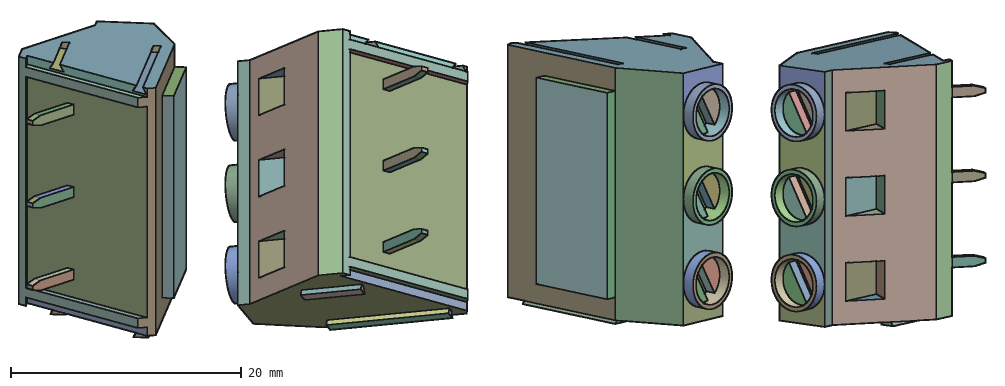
import cadquery as cq
import math


TILT = math.radians(55)
DOWN = (math.cos(TILT), -math.sin(TILT))
ACROSS = (math.sin(TILT), math.cos(TILT))

POLE_COUNT = 3
POLE_PITCH = 7.5
HEIGHT = POLE_COUNT * POLE_PITCH
POLE_LEVELS = [(i + 0.5) * POLE_PITCH for i in range(POLE_COUNT)]

COLLAR_DIAMETER = 5.0
COLLAR_BORE = 4.2
COLLAR_LENGTH = 1.13
SLOT_WIDTH = 1.0
SLOT_DEPTH = 1.0
SLOT_ANGLE = 30

ENTRY_WALL_TOP = 11.23
ENTRY_BEVEL_RISE = 1.8
SCREW_FACE_SETBACK = 1.1
MOUNTING_FACE_END = 15.25
REAR_BEVEL_RISE = 1.32
REAR_FACE_LENGTH = 12.8

BLOCK_LENGTH = 8.43
BLOCK_THICKNESS = 1.02
BLOCK_END_INSET = 2.05

RECESS_DEPTH = 0.7
RECESS_START = 2.1
EDGE_NOTCH_HEIGHT = 0.79
RAIL_HEIGHT = 0.88

ENTRY_TOP = 10.03
ENTRY_BOTTOM = 6.5
ENTRY_HEIGHT = 3.37

DOVETAIL_NECK = 0.62
DOVETAIL_BASE = 1.32
DOVETAIL_DEPTH = 23.1 - HEIGHT
DOVETAILS = [((1.5, 5.82), 5.43), ((8.06, 10.4), 11.05)]
GROOVE_OVERRUN = 2.77

PIN_X = 6.72
PIN_WIDTH = 0.72
PIN_HEIGHT = 0.92
PIN_TIP_HEIGHT = 0.4
PIN_LENGTH = 4.57
PIN_TIP_LENGTH = 1.02


def offset(point, direction, distance):
    return (point[0] + direction[0] * distance, point[1] + direction[1] * distance)


def prism(points, bottom, height):
    """Extrude an XY outline upward from the level `bottom`."""
    return cq.Workplane("XY", origin=(0, 0, bottom)).polyline(points).close().extrude(height)


neck_top = offset((0, ENTRY_WALL_TOP), DOWN, -SCREW_FACE_SETBACK)
screw_face_end = offset(neck_top, ACROSS, COLLAR_DIAMETER)
screw_center = offset(neck_top, ACROSS, COLLAR_DIAMETER / 2)
rear_bottom = (MOUNTING_FACE_END + REAR_BEVEL_RISE / math.tan(TILT), REAR_BEVEL_RISE)
rear_top = offset(rear_bottom, DOWN, -REAR_FACE_LENGTH)


def housing():
    outline = [
        (ENTRY_BEVEL_RISE / math.tan(TILT), 0),
        (MOUNTING_FACE_END, 0),
        rear_bottom,
        rear_top,
        screw_face_end,
        neck_top,
        (0, ENTRY_WALL_TOP),
        (0, ENTRY_BEVEL_RISE),
    ]
    return prism(outline, 0, HEIGHT)


def rear_block():
    block_bottom = offset(rear_top, DOWN, BLOCK_LENGTH)
    outline = [
        rear_top,
        block_bottom,
        offset(block_bottom, ACROSS, BLOCK_THICKNESS),
        offset(rear_top, ACROSS, BLOCK_THICKNESS),
    ]
    return prism(outline, BLOCK_END_INSET, HEIGHT - 2 * BLOCK_END_INSET)


def mounting_recess(bottom, height):
    """Recess with an undercut end wall, open toward the rear."""
    outline = [
        (RECESS_START, 0),
        (rear_bottom[0], 0),
        (rear_bottom[0], RECESS_DEPTH),
        (RECESS_START - RECESS_DEPTH / math.tan(TILT), RECESS_DEPTH),
    ]
    return prism(outline, bottom, height)


def wire_entry(level):
    """Wedge-shaped pocket that deepens along the slant."""
    outline = [
        (0, ENTRY_TOP),
        (0, ENTRY_BOTTOM),
        ((ENTRY_TOP - ENTRY_BOTTOM) / math.tan(TILT), ENTRY_BOTTOM),
    ]
    return prism(outline, level - ENTRY_HEIGHT / 2, ENTRY_HEIGHT)


def screw_plane(level):
    """Plane on the screw face, facing outward, with its local Y along Z."""
    return cq.Plane(
        origin=(*screw_center, level),
        xDir=(-ACROSS[0], -ACROSS[1], 0),
        normal=(-DOWN[0], -DOWN[1], 0),
    )


def collar(level):
    face = cq.Workplane(screw_plane(level))
    return face.circle(COLLAR_DIAMETER / 2).circle(COLLAR_BORE / 2).extrude(COLLAR_LENGTH)


def screw_slot(level):
    """Screwdriver slot running from wall to wall of the collar bore."""
    face = cq.Workplane(screw_plane(level))
    bore = face.circle(COLLAR_BORE / 2).extrude(-SLOT_DEPTH)
    strip = face.transformed(rotate=(0, 0, SLOT_ANGLE)).rect(SLOT_WIDTH, COLLAR_BORE).extrude(-SLOT_DEPTH)
    return strip.intersect(bore)


def dovetail(start, level, length):
    """Dovetail bar along the slant, narrow at `level` and wider below it."""
    plane = cq.Plane(origin=(*start, level), xDir=(*ACROSS, 0), normal=(*DOWN, 0))
    profile = [
        (-DOVETAIL_NECK / 2, 0),
        (DOVETAIL_NECK / 2, 0),
        (DOVETAIL_BASE / 2, -DOVETAIL_DEPTH),
        (-DOVETAIL_BASE / 2, -DOVETAIL_DEPTH),
    ]
    return cq.Workplane(plane).polyline(profile).close().extrude(length)


def pin(level):
    """Pin rooted in the recessed panel, tapering in height at its tip."""
    shoulder = PIN_TIP_LENGTH - PIN_LENGTH
    profile = [
        (RECESS_DEPTH, PIN_HEIGHT / 2),
        (shoulder, PIN_HEIGHT / 2),
        (-PIN_LENGTH, PIN_TIP_HEIGHT / 2),
        (-PIN_LENGTH, -PIN_TIP_HEIGHT / 2),
        (shoulder, -PIN_HEIGHT / 2),
        (RECESS_DEPTH, -PIN_HEIGHT / 2),
    ]
    side = cq.Workplane("YZ", origin=(PIN_X, 0, level))
    return side.polyline(profile).close().extrude(PIN_WIDTH / 2, both=True)


panel_inset = EDGE_NOTCH_HEIGHT + RAIL_HEIGHT
result = housing().union(rear_block())
result = result.cut(mounting_recess(0, EDGE_NOTCH_HEIGHT))
result = result.cut(mounting_recess(HEIGHT - EDGE_NOTCH_HEIGHT, EDGE_NOTCH_HEIGHT))
result = result.cut(mounting_recess(panel_inset, HEIGHT - 2 * panel_inset))

for start, rib_length in DOVETAILS:
    result = result.cut(dovetail(start, HEIGHT, rib_length + GROOVE_OVERRUN))
    result = result.union(dovetail(start, 0, rib_length))

for level in POLE_LEVELS:
    result = result.cut(wire_entry(level)).cut(screw_slot(level))
    result = result.union(collar(level)).union(pin(level))